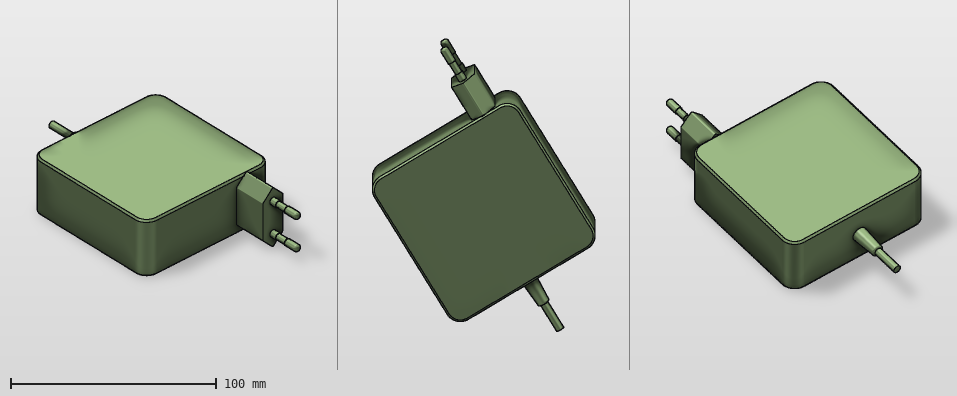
import cadquery as cq

total_length = 150.5

body_side = 83.0
body_height = 33.0
body_corner_radius = 7.5
body_edge_chamfer = 1.0

cable_diameter = 4.0
cable_length = 15.0
boot_length = 15.0
boot_tip_diameter = 6.0
boot_root_diameter = 8.0
boot_tip_radius = 0.9

plug_length = 19.0
plug_width = 13.2
plug_height = 34.2
plug_edge_radius = 1.0
plug_offset_y = 25.0

pin_spacing = 19.0
pin_diameter = 4.0
pin_waist_diameter = 3.5
pin_root_length = 4.0
pin_waist_length = 6.3
pin_end_radius = 1.4

cable_start = -total_length / 2
boot_start = cable_start + cable_length
body_start = boot_start + boot_length
plug_start = body_start + body_side
pin_start = plug_start + plug_length
pin_length = total_length / 2 - pin_start


def rod(start, length, diameter, y=0.0, z=0.0):
    """Round rod running along +X from the given start."""
    section = cq.Workplane("YZ", origin=(start, y, z)).circle(diameter / 2)
    return section.extrude(length)


def make_body():
    block = cq.Workplane("XY").box(body_side, body_side, body_height)
    block = block.edges("|Z").fillet(body_corner_radius)
    block = block.faces("|Z").edges().chamfer(body_edge_chamfer)
    return block.translate((body_start + body_side / 2, 0, 0))


def make_cable():
    return rod(cable_start, cable_length, cable_diameter)


def make_boot():
    boot = (
        cq.Workplane("YZ", origin=(boot_start, 0, 0))
        .circle(boot_tip_diameter / 2)
        .workplane(offset=boot_length)
        .circle(boot_root_diameter / 2)
        .loft()
    )
    return boot.faces("<X").edges().fillet(boot_tip_radius)


def make_plug():
    ridge_z = plug_height / 2 + plug_edge_radius * (2**0.5 - 1)
    side_y = plug_width / 2
    shoulder_z = ridge_z - side_y
    outline = [
        (0, ridge_z),
        (side_y, shoulder_z),
        (side_y, -shoulder_z),
        (0, -ridge_z),
        (-side_y, -shoulder_z),
        (-side_y, shoulder_z),
    ]
    section = cq.Workplane("YZ", origin=(plug_start, plug_offset_y, 0)).polyline(outline).close()
    return section.extrude(plug_length).edges("|X").fillet(plug_edge_radius)


def make_pin(z):
    waist_start = pin_start + pin_root_length
    tip_start = waist_start + pin_waist_length
    tip_length = pin_length - pin_root_length - pin_waist_length
    root = rod(pin_start, pin_root_length, pin_diameter, plug_offset_y, z)
    waist = rod(waist_start, pin_waist_length, pin_waist_diameter, plug_offset_y, z)
    tip = rod(tip_start, tip_length, pin_diameter, plug_offset_y, z)
    tip = tip.faces(">X").edges().fillet(pin_end_radius)
    return root.union(waist).union(tip)


result = make_body().union(make_cable()).union(make_boot()).union(make_plug())
for side in (-1, 1):
    result = result.union(make_pin(side * pin_spacing / 2))